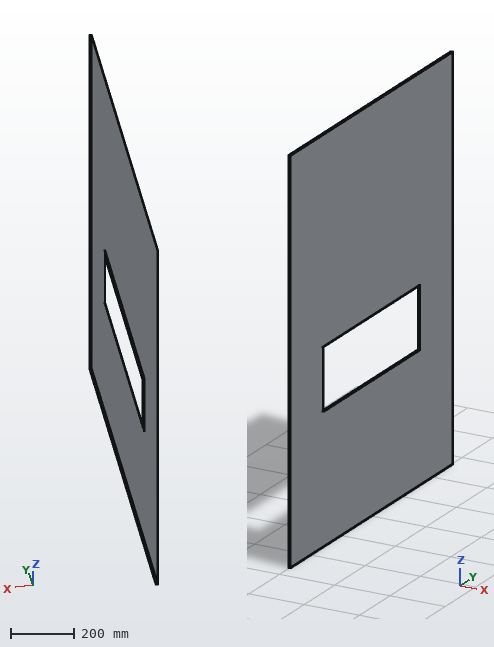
import cadquery as cq

panel_thickness = 6.3
panel_width = 1067.0
panel_height = 1397.0

window_width = 634.0
window_height = 220.0
window_bottom = 458.0

window_center_z = window_bottom + window_height / 2 - panel_height / 2

panel = cq.Workplane("XY").box(panel_thickness, panel_width, panel_height)

window = (
    cq.Workplane("XY")
    .box(2 * panel_thickness, window_width, window_height)
    .translate((0, 0, window_center_z))
)

result = panel.cut(window)